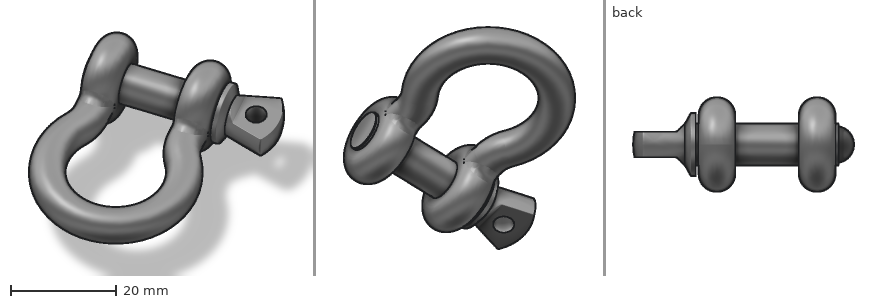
import cadquery as cq
import math


overall_length = 46.5
overall_width = 42.0

eye_diameter = 18.0
bar_diameter = 7.0
bow_radius = 13.0
neck_radius = 8.0
eye_spacing = 19.0
eye_fillet = 3.0
fillet_overlap = 0.01
fillet_sections = 13
fillet_half_sweep = math.radians(84)

bar_radius = bar_diameter / 2
eye_radius = eye_diameter / 2
rim_radius = eye_radius - bar_radius
leg_x = eye_spacing / 2
eye_face_x = leg_x + bar_radius
bow_center_y = -(overall_length - eye_radius - bow_radius - bar_radius)
bend_angle = math.acos((leg_x + neck_radius) / (bow_radius + neck_radius))
leg_end_y = bow_center_y + (bow_radius + neck_radius) * math.sin(bend_angle)

pin_radius = 4.0
pin_overhang = 0.6
pin_chamfer = 0.15
collar_gap = 0.45
collar_radius = 6.0
collar_rim = 0.98
collar_taper = 1.1
collar_fillet = 0.2
handle_corner_x = 23.5
handle_corner_radius = 6.0
handle_corner_fillet = 0.35
handle_thickness = 4.95
handle_edge_fillet = 0.15
handle_root_fillet = 0.35
handle_hole_diameter = 4.0
handle_hole_x = 20.45

collar_x = eye_face_x + collar_gap
handle_x = collar_x + collar_rim + collar_taper
flare_start_x = handle_x - collar_taper
handle_tip_x = overall_width - bow_radius - bar_radius


def make_bow():
    """Sweep the round bar from one eye, around the crown, to the other eye."""
    def on_bow(angle):
        return (bow_radius * math.cos(angle), bow_center_y + bow_radius * math.sin(angle))

    def on_neck(angle):
        return (leg_x + neck_radius * (1 - math.cos(angle)), leg_end_y - neck_radius * math.sin(angle))

    def mirrored(point):
        return (-point[0], point[1])

    joint = on_bow(bend_angle)
    neck_middle = on_neck(bend_angle / 2)
    path = (
        cq.Workplane("XY")
        .moveTo(leg_x, 0)
        .lineTo(leg_x, leg_end_y)
        .threePointArc(neck_middle, joint)
        .threePointArc(on_bow(-math.pi / 2), mirrored(joint))
        .threePointArc(mirrored(neck_middle), (-leg_x, leg_end_y))
        .lineTo(-leg_x, 0)
    )
    return cq.Workplane("XZ").center(leg_x, 0).circle(bar_radius).sweep(path)


def make_eye():
    """Disc with a fully rounded rim, centred on the origin and facing along X."""
    return (
        cq.Workplane("XY")
        .moveTo(-bar_radius, 0)
        .lineTo(-bar_radius, rim_radius)
        .threePointArc((0, eye_radius), (bar_radius, rim_radius))
        .lineTo(bar_radius, 0)
        .close()
        .revolve(360, (0, 0, 0), (1, 0, 0))
    )


def fillet_section(angle):
    """Concave-sided slice of the eye fillet, in the plane through the ball centre and its two feet.

    The fillet is the trace of a ball rolling in the corner between the bar and the eye rim.
    Both have the same rounding, so the ball centre stays equally far from the bar centreline
    and from the rim centreline. The angle places the ball around the bar, from the top.
    """
    reach = bar_radius + eye_fillet
    ball_z = reach * math.cos(angle)
    ball_y = -math.sqrt(rim_radius ** 2 + 2 * rim_radius * ball_z)
    ball = cq.Vector(reach * math.sin(angle), ball_y, ball_z)
    bar_foot = cq.Vector(0, ball_y, 0)
    rim_foot = cq.Vector(0, ball_y, ball_z).normalized() * rim_radius

    sunk_fraction = (bar_radius - fillet_overlap) / reach
    bar_contact = bar_foot + (ball - bar_foot) * sunk_fraction
    rim_contact = rim_foot + (ball - rim_foot) * sunk_fraction
    toward_corner = ((bar_foot + rim_foot) * 0.5 - ball).normalized()
    arc_middle = ball + toward_corner * eye_fillet
    return cq.Wire.assembleEdges([
        cq.Edge.makeLine(bar_foot, bar_contact),
        cq.Edge.makeThreePointArc(bar_contact, arc_middle, rim_contact),
        cq.Edge.makeLine(rim_contact, rim_foot),
        cq.Edge.makeLine(rim_foot, bar_foot),
    ])


def make_eye_fillet():
    """Fillet between one side of an eye and its leg; it runs out at both faces of the eye."""
    step = 2 * fillet_half_sweep / (fillet_sections - 1)
    sections = [fillet_section(-fillet_half_sweep + step * i) for i in range(fillet_sections)]
    return cq.Workplane(cq.Solid.makeLoft(sections))


def make_pin():
    """Plain pin and tapered collar, turned about the X axis."""
    pin = (
        cq.Workplane("YZ", origin=(-eye_face_x - pin_overhang, 0, 0))
        .circle(pin_radius)
        .extrude(eye_face_x + pin_overhang + collar_x)
        .faces("<X")
        .chamfer(pin_chamfer)
    )
    collar = (
        cq.Workplane("XY")
        .moveTo(collar_x, 0)
        .lineTo(collar_x, collar_radius)
        .lineTo(collar_x + collar_rim, collar_radius)
        .lineTo(handle_x, pin_radius)
        .lineTo(handle_x, 0)
        .close()
        .revolve(360, (0, 0, 0), (1, 0, 0))
        .edges("%CIRCLE")
        .edges(cq.selectors.NearestToPointSelector((collar_x + collar_rim, 0, 0)))
        .fillet(collar_fillet)
    )
    return pin.union(collar)


def make_handle_blank():
    """Turned flare with a domed end and a softened corner between the two."""
    dome_depth = handle_tip_x - handle_corner_x
    dome_radius = (handle_corner_radius ** 2 + dome_depth ** 2) / (2 * dome_depth)
    dome_center_x = handle_tip_x - dome_radius
    half_angle = math.asin(handle_corner_radius / dome_radius) / 2
    dome_middle = (dome_center_x + dome_radius * math.cos(half_angle), dome_radius * math.sin(half_angle))

    flare_slope = (handle_corner_radius - pin_radius) / (handle_corner_x - handle_x)
    flare_start_radius = pin_radius - collar_taper * flare_slope
    return (
        cq.Workplane("XY")
        .moveTo(flare_start_x, 0)
        .lineTo(flare_start_x, flare_start_radius)
        .lineTo(handle_corner_x, handle_corner_radius)
        .threePointArc(dome_middle, (handle_tip_x, 0))
        .close()
        .revolve(360, (0, 0, 0), (1, 0, 0))
        .edges("%CIRCLE")
        .edges(cq.selectors.NearestToPointSelector((handle_corner_x, 0, 0)))
        .fillet(handle_corner_fillet)
    )


def make_handle_sides():
    """Block that slopes at 45 degrees from the collar down to the two parallel flats."""
    half_thickness = handle_thickness / 2
    flat_x = handle_x + pin_radius - half_thickness
    sides = (
        cq.Workplane("XZ")
        .moveTo(flare_start_x, pin_radius + collar_taper)
        .lineTo(flat_x, half_thickness)
        .lineTo(handle_tip_x, half_thickness)
        .lineTo(handle_tip_x, -half_thickness)
        .lineTo(flat_x, -half_thickness)
        .lineTo(flare_start_x, -pin_radius - collar_taper)
        .close()
        .extrude(handle_corner_radius, both=True)
    )
    for side in (1, -1):
        root = cq.selectors.NearestToPointSelector((flat_x, 0, side * half_thickness))
        sides = sides.edges("|Y").edges(root).fillet(handle_root_fillet)
    return sides


def make_handle():
    """Flared handle with flat sides, rounded edges and a round through hole."""
    handle = make_handle_blank().intersect(make_handle_sides())
    handle = handle.faces("<Z or >Z").edges().fillet(handle_edge_fillet)
    hole = (
        cq.Workplane("XY", origin=(handle_hole_x, 0, 0))
        .circle(handle_hole_diameter / 2)
        .extrude(handle_thickness, both=True)
    )
    return handle.cut(hole)


upper_fillet = make_eye_fillet()
result = make_bow()
for side_x in (-leg_x, leg_x):
    result = result.union(make_eye().translate((side_x, 0, 0)))
    for fillet in (upper_fillet, upper_fillet.mirror("XY")):
        result = result.union(fillet.translate((side_x, 0, 0)))
result = result.union(make_pin()).union(make_handle())